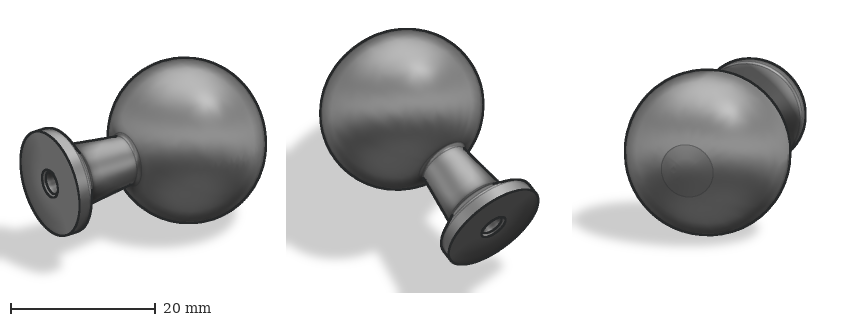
import cadquery as cq
import math


total_length = 33.0
edge_radius = 0.5

foot_diameter = 15.0
foot_rim_length = 2.0
foot_length = 4.0

neck_foot_diameter = 9.0
neck_head_diameter = 7.0
neck_end = 12.0

head_diameter = 23.0
head_center = 22.55
head_side_radius = 10.3

hole_diameter = 3.24
hole_mouth_diameter = 4.0
hole_depth = 8.0
drill_point_angle = 118.0


def make_foot_and_neck():
    """Foot and tapered neck, running on into the centre of the head."""
    taper = (neck_foot_diameter - neck_head_diameter) / 2 / (neck_end - foot_length)
    radius_at_center = neck_foot_diameter / 2 - taper * (head_center - foot_length)
    profile = (
        cq.Workplane("XY")
        .lineTo(foot_diameter / 2, 0)
        .lineTo(foot_diameter / 2, foot_rim_length)
        .lineTo(neck_foot_diameter / 2, foot_length)
        .lineTo(radius_at_center, head_center)
        .lineTo(0, head_center)
        .close()
    )
    return profile.revolve(360, (0, 0), (0, 1))


def make_head():
    """Flattened ball: the side arc runs tangent into the cap arc, which crosses the axis at the top."""
    side_offset = head_diameter / 2 - head_side_radius
    rise = total_length - head_center

    cap_radius = (side_offset**2 + rise**2 - head_side_radius**2) / (2 * (rise - head_side_radius))
    cap_center = total_length - cap_radius
    cap_angle = math.asin(side_offset / (cap_radius - head_side_radius))

    def cap_point(angle):
        return (cap_radius * math.sin(angle), cap_center + cap_radius * math.cos(angle))

    head_bottom = head_center - head_side_radius
    profile = (
        cq.Workplane("XY")
        .moveTo(0, head_bottom)
        .lineTo(side_offset, head_bottom)
        .threePointArc((head_diameter / 2, head_center), cap_point(cap_angle))
        .threePointArc(cap_point(cap_angle / 2), (0, total_length))
        .close()
    )
    return profile.revolve(360, (0, 0), (0, 1))


def round_edges(body, y_low, y_high):
    """Round the full circles, centred on the Y axis, that lie between two heights."""
    reach = edge_radius
    on_axis = cq.selectors.BoxSelector((-reach, y_low, -reach), (reach, y_high, reach))
    return body.edges(on_axis).fillet(edge_radius)


def make_hole():
    """Blind hole with a chamfered mouth and a conical bottom."""
    hole_radius = hole_diameter / 2
    mouth_radius = hole_mouth_diameter / 2
    point_length = hole_radius / math.tan(math.radians(drill_point_angle / 2))
    profile = (
        cq.Workplane("XY")
        .lineTo(mouth_radius, 0)
        .lineTo(hole_radius, mouth_radius - hole_radius)
        .lineTo(hole_radius, hole_depth)
        .lineTo(0, hole_depth + point_length)
        .close()
    )
    return profile.revolve(360, (0, 0), (0, 1))


rim_middle = foot_rim_length / 2
knob = make_foot_and_neck().union(make_head())
knob = round_edges(knob, rim_middle, head_center)
result = knob.cut(make_hole())